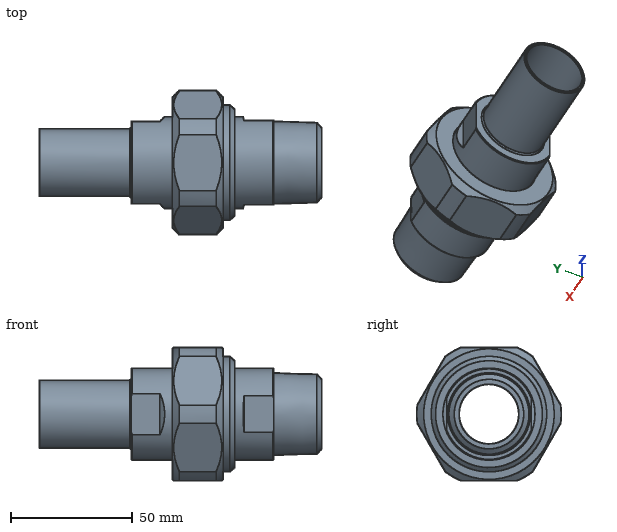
import cadquery as cq
import math

length = 116.5
bore_d = 24.5

pipe_d = 28.0
pipe_bore_d = 25.6
pipe_edge = 0.2
weld_d = 29.1
weld_x = 37.3
spigot_x = 38.0
spigot_d = 38.0
edge_chamfer = 0.3
left_flats_width = 34.0
left_flats_end_x = 49.7
left_flats_lean = 45

nut_x = 54.9
nut_length = 21.0
nut_across_flats = 55.0
nut_corner_d = 59.6
nut_face_d = 53.8
nut_hole_d = 38.5
nut_wall = 4.7
flange_length = 4.7

union_thread_d = 47.6
union_thread_tip_d = 44.0
union_thread_bevel_x = 78.5
union_thread_end_x = 80.6
body_end_x = 96.7
right_flats_width = 34.8
right_flats_x = 84.5
right_flats_lean = 15
thread_d = 34.1
thread_bevel_x = 114.4
thread_tip_d = 28.7
thread_taper = 1 / 16

nut_end_x = nut_x + nut_length
flange_x = nut_x + nut_wall
joint_x = flange_x + flange_length


def revolve_profile(points):
    """Solid of revolution about X from (x, diameter) points of its outside and axis."""
    half_profile = [(x, diameter / 2) for x, diameter in points]
    return cq.Workplane("XY").polyline(half_profile).close().revolve(360, (0, 0, 0), (1, 0, 0))


def cylinder(start_x, end_x, diameter):
    """Cylinder about X between two stations."""
    return cq.Workplane("YZ", origin=(start_x, 0, 0)).circle(diameter / 2).extrude(end_x - start_x)


def flat_cutter(width, open_x, inner_x, lean_angle, side):
    """Block that cuts one wrench flat on the given Y side, with a leaning inner end."""
    flat_y = width / 2
    reach = spigot_d / 2
    lean = math.copysign(reach * math.tan(math.radians(lean_angle)), inner_x - open_x)
    outline = [
        (open_x, side * flat_y),
        (inner_x, side * flat_y),
        (inner_x + lean, side * (flat_y + reach)),
        (open_x, side * (flat_y + reach)),
    ]
    return cq.Workplane("XY").polyline(outline).close().extrude(reach, both=True)


def make_left_tail():
    tail = revolve_profile([
        (0, 0),
        (0, pipe_d - 2 * pipe_edge),
        (pipe_edge, pipe_d),
        (weld_x, pipe_d),
        (spigot_x, weld_d),
        (spigot_x, spigot_d - 2 * edge_chamfer),
        (spigot_x + edge_chamfer, spigot_d),
        (flange_x, spigot_d),
        (flange_x, union_thread_d),
        (joint_x, union_thread_d),
        (joint_x, 0),
    ])
    for side in (-1, 1):
        tail = tail.cut(flat_cutter(left_flats_width, spigot_x, left_flats_end_x, left_flats_lean, side))
    pipe_bore = revolve_profile([
        (0, 0),
        (0, pipe_bore_d + 2 * pipe_edge),
        (pipe_edge, pipe_bore_d),
        (spigot_x, pipe_bore_d),
        (spigot_x, 0),
    ])
    return tail.cut(pipe_bore).cut(cylinder(spigot_x, joint_x, bore_d))


def make_nut():
    across_corners = nut_across_flats / math.cos(math.pi / 6)
    hexagon = cq.Workplane("YZ", origin=(nut_x, 0, 0)).polygon(6, across_corners).extrude(nut_length)
    chamfer = (nut_corner_d - nut_face_d) / 2
    envelope = revolve_profile([
        (nut_x, 0),
        (nut_x, nut_face_d),
        (nut_x + chamfer, nut_corner_d),
        (nut_end_x - chamfer, nut_corner_d),
        (nut_end_x, nut_face_d),
        (nut_end_x, 0),
    ])
    nut = hexagon.intersect(envelope)
    nut = nut.cut(cylinder(nut_x, flange_x, nut_hole_d))
    return nut.cut(cylinder(flange_x, nut_end_x, union_thread_d))


def make_right_tail():
    thread_bevel_d = thread_d - thread_taper * (thread_bevel_x - body_end_x)
    tail = revolve_profile([
        (joint_x, 0),
        (joint_x, union_thread_d),
        (union_thread_bevel_x, union_thread_d),
        (union_thread_end_x, union_thread_tip_d),
        (union_thread_end_x, spigot_d),
        (body_end_x - edge_chamfer, spigot_d),
        (body_end_x, spigot_d - 2 * edge_chamfer),
        (body_end_x, thread_d),
        (thread_bevel_x, thread_bevel_d),
        (length, thread_tip_d),
        (length, 0),
    ])
    for side in (-1, 1):
        tail = tail.cut(flat_cutter(right_flats_width, body_end_x, right_flats_x, right_flats_lean, side))
    return tail.cut(cylinder(joint_x, length, bore_d))


left_tail = make_left_tail()
nut = make_nut()
right_tail = make_right_tail()
result = cq.Compound.makeCompound([left_tail.val(), nut.val(), right_tail.val()])